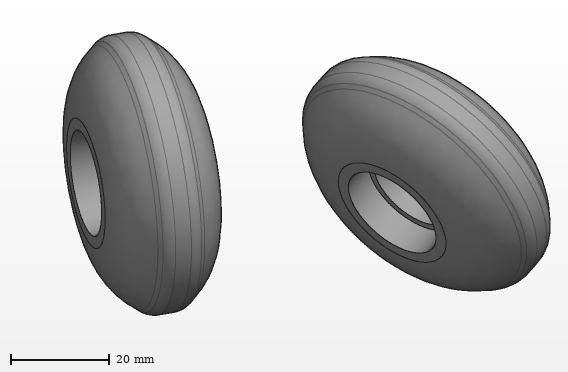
import cadquery as cq
import math

width = 24.0
outer_diameter = 58.0
hub_diameter = 27.0
seat_diameter = 22.0
bore_diameter = 19.0
seat_depth = 7.0

tread_half_width = 1.7
shoulder_half_width = 4.1
bevel_half_width = 5.0
bevel_angle = math.radians(40)

half_width = width / 2
outer_radius = outer_diameter / 2
hub_radius = hub_diameter / 2

shoulder_arc_radius = (shoulder_half_width - tread_half_width) / math.sin(bevel_angle)
shoulder_radius = outer_radius - shoulder_arc_radius * (1 - math.cos(bevel_angle))
bevel_radius = shoulder_radius - (bevel_half_width - shoulder_half_width) * math.tan(bevel_angle)

sidewall_rise = bevel_radius - hub_radius
sidewall_run = half_width - bevel_half_width
sidewall_arc_radius = (sidewall_rise**2 + sidewall_run**2) / (2 * sidewall_run)


def point_on_arc(center_radius, center_y, arc_radius, angle):
    """Return the (radius, y) point at an angle measured from the radial direction."""
    return (
        center_radius + arc_radius * math.cos(angle),
        center_y + arc_radius * math.sin(angle),
    )


def mirrored(point):
    """Mirror a (radius, y) profile point across the mid plane."""
    radius, y = point
    return (radius, -y)


def revolve_about_y(profile):
    """Revolve a closed (radius, y) profile a full turn about the wheel axis."""
    return profile.revolve(360, (0, 0, 0), (0, 1, 0))


def make_tyre():
    shoulder_mid = point_on_arc(
        outer_radius - shoulder_arc_radius, tread_half_width, shoulder_arc_radius, bevel_angle / 2
    )
    sidewall_start_angle = math.asin((sidewall_arc_radius - sidewall_run) / sidewall_arc_radius)
    sidewall_mid_angle = (sidewall_start_angle + math.pi / 2) / 2
    sidewall_mid = point_on_arc(
        hub_radius, half_width - sidewall_arc_radius, sidewall_arc_radius, sidewall_mid_angle
    )
    face_edge = (hub_radius, half_width)
    bevel_end = (bevel_radius, bevel_half_width)
    shoulder_end = (shoulder_radius, shoulder_half_width)
    tread_edge = (outer_radius, tread_half_width)

    profile = (
        cq.Workplane("XY")
        .moveTo(*face_edge)
        .threePointArc(sidewall_mid, bevel_end)
        .lineTo(*shoulder_end)
        .threePointArc(shoulder_mid, tread_edge)
        .lineTo(*mirrored(tread_edge))
        .threePointArc(mirrored(shoulder_mid), mirrored(shoulder_end))
        .lineTo(*mirrored(bevel_end))
        .threePointArc(mirrored(sidewall_mid), mirrored(face_edge))
        .close()
    )
    return revolve_about_y(profile)


def make_hub():
    bore_radius = bore_diameter / 2
    seat_radius = seat_diameter / 2
    seat_floor = half_width - seat_depth

    profile = (
        cq.Workplane("XY")
        .moveTo(hub_radius, half_width)
        .lineTo(seat_radius, half_width)
        .lineTo(seat_radius, seat_floor)
        .lineTo(bore_radius, seat_floor)
        .lineTo(bore_radius, -seat_floor)
        .lineTo(seat_radius, -seat_floor)
        .lineTo(seat_radius, -half_width)
        .lineTo(hub_radius, -half_width)
        .close()
    )
    return revolve_about_y(profile)


tyre = make_tyre()
hub = make_hub()

result = cq.Compound.makeCompound([tyre.val(), hub.val()])